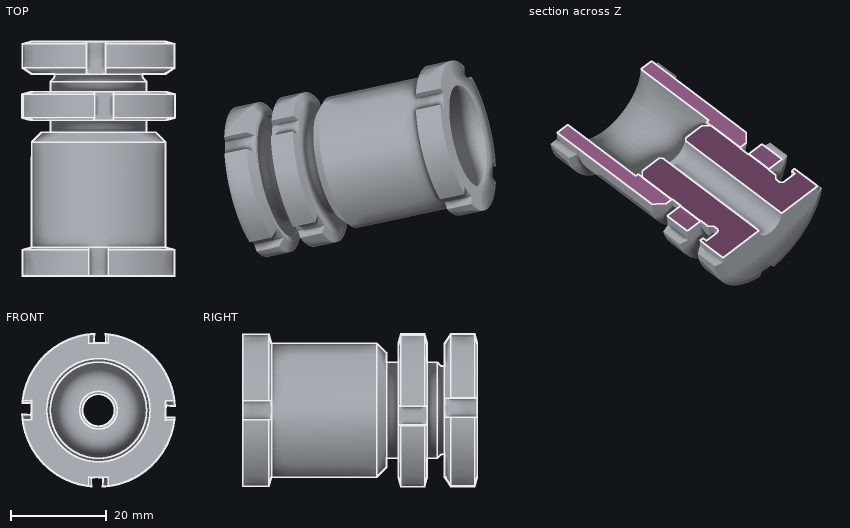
import cadquery as cq
import math


outer_radius = 16.0
thread_radius = 10.05
slot_width = 4.0
slot_floor_radius = 14.0
slot_count = 4
edge_taper = 2.0
edge_depth = edge_taper * math.tan(math.radians(15))

sleeve_length = 30.0
sleeve_radius = slot_floor_radius
sleeve_chamfer = 2.05
flange_length = 6.0
bore_radius = 10.75
bore_depth = 20.0

nut_start = 32.45
nut_length = 6.0
nut_turn = 4.3

total_length = 48.9
head_length = 6.85
head_start = total_length - head_length
head_bevel_depth = 1.3
head_bevel_width = 2.0
recess_radius = 13.0
recess_depth = 1.0
head_turn = -2.0
spindle_start = bore_depth
tip_chamfer = 1.15
tip_fillet = 0.5
neck_radius = 9.2
relief_length = 1.5
neck_fillet = 0.8
hole_radius = 3.35
hole_chamfer = 0.6

rim_tolerance = 0.05


def revolve_profile(points):
    """Revolve a closed outline of (radius, y) points about the Y axis."""
    return cq.Workplane("XY").polyline(points).close().revolve(360, (0, 0, 0), (0, 1, 0))


def cut_slots(body, start, length, turn):
    """Cut evenly spaced wrench slots through a rim that starts at the given y."""
    depth = outer_radius
    for index in range(slot_count):
        slot = (
            cq.Workplane("XY")
            .box(slot_width, length, depth, centered=(True, False, False))
            .translate((0, start, slot_floor_radius))
            .rotate((0, 0, 0), (0, 1, 0), turn + index * 360 / slot_count)
        )
        body = body.cut(slot)
    return body


def fillet_rim(body, radius, y, fillet_radius):
    """Fillet the circular edge of the given radius about the Y axis at the given y."""
    outer = radius + rim_tolerance
    inner = radius - rim_tolerance
    back = y + rim_tolerance
    front = y - rim_tolerance
    up_to_rim = cq.selectors.BoxSelector((-outer, front, -outer), (outer, back, outer), boundingbox=True)
    inside_rim = cq.selectors.BoxSelector((-inner, front, -inner), (inner, back, inner), boundingbox=True)
    return body.edges(up_to_rim - inside_rim).fillet(fillet_radius)


def make_sleeve():
    """Flanged sleeve with a clearance bore in front and the threaded bore behind."""
    profile = [
        (bore_radius, 0),
        (outer_radius, 0),
        (outer_radius, flange_length - edge_depth),
        (outer_radius - edge_taper, flange_length),
        (sleeve_radius, sleeve_length - sleeve_chamfer),
        (sleeve_radius - sleeve_chamfer, sleeve_length),
        (thread_radius, sleeve_length),
        (thread_radius, bore_depth),
        (bore_radius, bore_depth),
    ]
    return cut_slots(revolve_profile(profile), 0, flange_length, 0)


def make_lock_nut():
    """Slotted ring nut with a shallow chamfer on both rims."""
    nut_end = nut_start + nut_length
    profile = [
        (thread_radius, nut_start),
        (outer_radius - edge_taper, nut_start),
        (outer_radius, nut_start + edge_depth),
        (outer_radius, nut_end - edge_depth),
        (outer_radius - edge_taper, nut_end),
        (thread_radius, nut_end),
    ]
    return cut_slots(revolve_profile(profile), nut_start, nut_length, nut_turn)


def make_spindle():
    """Threaded spindle with a relief neck, a slotted head and a through hole."""
    thread_end = head_start - relief_length
    neck_start = thread_end + thread_radius - neck_radius
    recess_floor = head_start + recess_depth
    profile = [
        (hole_radius + hole_chamfer, spindle_start),
        (thread_radius - tip_chamfer, spindle_start),
        (thread_radius, spindle_start + tip_chamfer),
        (thread_radius, thread_end),
        (neck_radius, neck_start),
        (neck_radius, recess_floor),
        (recess_radius, recess_floor),
        (recess_radius, head_start),
        (outer_radius - head_bevel_width, head_start),
        (outer_radius, head_start + head_bevel_depth),
        (outer_radius, total_length - edge_depth),
        (outer_radius - edge_taper, total_length),
        (hole_radius, total_length),
        (hole_radius, spindle_start + hole_chamfer),
    ]
    body = revolve_profile(profile)
    body = fillet_rim(body, thread_radius - tip_chamfer, spindle_start, tip_fillet)
    body = fillet_rim(body, neck_radius, neck_start, neck_fillet)
    body = fillet_rim(body, neck_radius, recess_floor, neck_fillet)
    return cut_slots(body, head_start, head_length, head_turn)


sleeve = make_sleeve()
lock_nut = make_lock_nut()
spindle = make_spindle()

result = cq.Compound.makeCompound([sleeve.val(), lock_nut.val(), spindle.val()])